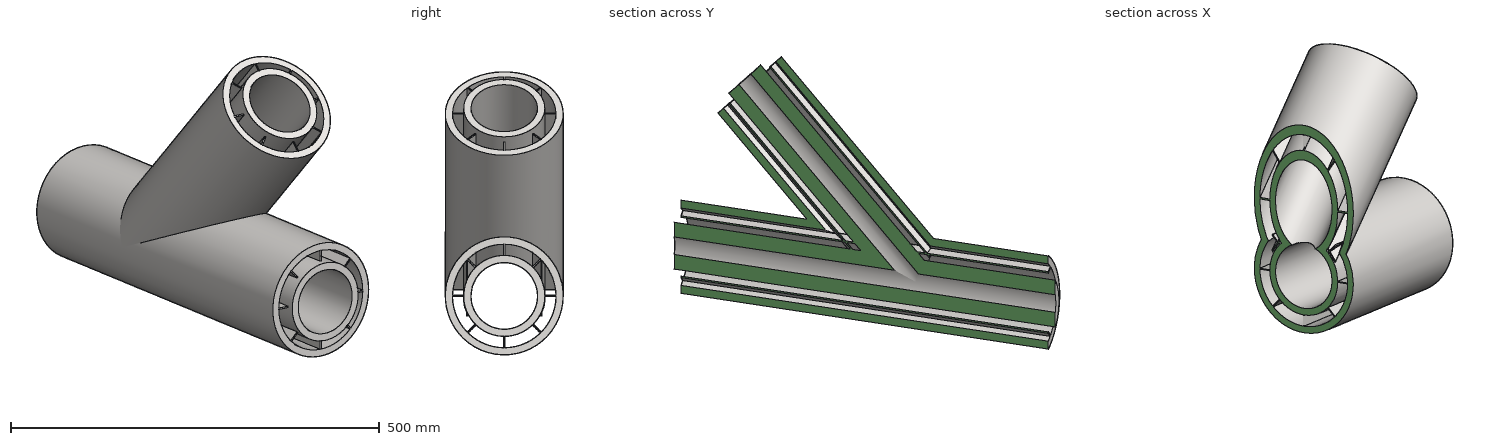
import cadquery as cq

main_length = 570.0
branch_length = 350.0
junction_distance = 210.0
branch_angle = 45.0

jacket_diameter = 160.0
jacket_bore = 140.0
pipe_diameter = 110.0
pipe_bore = 90.0
pipe_overhang = 10.0

rib_count = 8
rib_thickness = 2.0
rib_overlap = 1.5

branch_pipe_start = -pipe_overhang
branch_rib_start = 12.5

main_start = -junction_distance
main_end = main_length - junction_distance


def rod(diameter, start, end):
    """Cylinder along X."""
    return cq.Workplane("YZ", origin=(start, 0, 0)).circle(diameter / 2).extrude(end - start)


def ribs(start, end):
    """Ring of radial ribs along X, spanning the gap between pipe and jacket."""
    inner_radius = pipe_diameter / 2 - rib_overlap
    outer_radius = jacket_bore / 2 + rib_overlap
    rib = cq.Workplane("XY").box(
        end - start, rib_thickness, outer_radius - inner_radius, centered=(False, True, False)
    ).translate((start, 0, inner_radius))
    ring = cq.Workplane("XY")
    for index in range(rib_count):
        ring = ring.add(rib.rotate((0, 0, 0), (1, 0, 0), index * 360 / rib_count))
    return ring.combine()


def to_branch(body):
    """Tilt a body lying along X up to the branch direction."""
    return body.rotate((0, 0, 0), (0, 1, 0), -branch_angle)


def joined_rods(diameter, overhang, branch_start):
    """Main and branch cylinders of equal diameter, merged at the junction."""
    main = rod(diameter, main_start + pipe_overhang - overhang, main_end - pipe_overhang + overhang)
    branch = rod(diameter, branch_start, branch_length + overhang)
    return main.union(to_branch(branch))


jacket = joined_rods(jacket_diameter, 0, 0).cut(joined_rods(jacket_bore, 0, 0))

pipe = joined_rods(pipe_diameter, pipe_overhang, branch_pipe_start)
bore = joined_rods(pipe_bore, pipe_overhang, 0)
main_ribs = ribs(main_start + pipe_overhang, main_end - pipe_overhang)
branch_ribs = to_branch(ribs(branch_rib_start, branch_length))

result = jacket.union(main_ribs).union(branch_ribs).union(pipe).cut(bore)